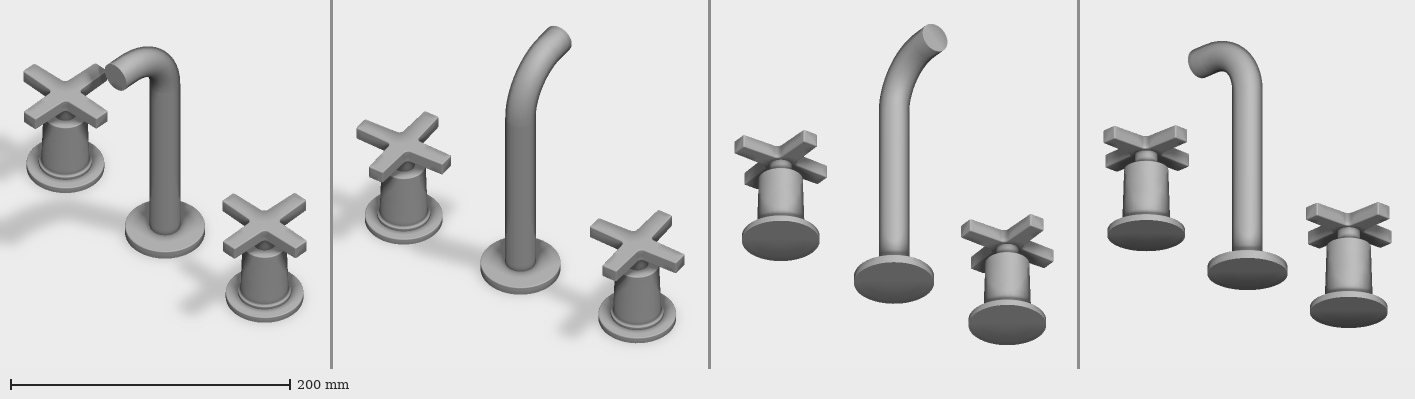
import cadquery as cq
import math

total_width = 273.3
total_height = 191.5

cross_span = 73.8
cross_bottom = 63.0
cross_top = 73.2
arm_tip_width = 12.0
arm_root_width = 13.7
arm_root_fillet = 3.5
cross_edge_fillet = 0.8
arm_tip_fillet = 1.0

flange_radius = 28.0
flange_height = 5.0
flange_edge_fillet = 0.8
collar_edge_fillet = 0.5
collar_top = 7.5
body_bottom_radius = 17.2
body_top_radius = 15.9
body_top = 52.0
body_edge_fillet = 0.8
body_foot_fillet = 1.5
collar_radius = body_bottom_radius + body_foot_fillet + collar_edge_fillet
stem_radius = 8.2

spout_radius = 11.0
spout_reach = 50.5
bend_radius = 37.7
spout_flange_radius = 28.7
spout_flange_height = 6.5
spout_flange_fillet = 0.8

valve_offset = (total_width - cross_span) / 2


def make_turned_body():
    """Flange, collar, tapered body and stem revolved about Z."""
    profile = (
        cq.Workplane("XZ")
        .lineTo(flange_radius, 0)
        .lineTo(flange_radius, flange_height - flange_edge_fillet)
        .radiusArc((flange_radius - flange_edge_fillet, flange_height), -flange_edge_fillet)
        .lineTo(collar_radius, flange_height)
        .lineTo(collar_radius, collar_top - collar_edge_fillet)
        .radiusArc((collar_radius - collar_edge_fillet, collar_top), -collar_edge_fillet)
        .radiusArc((body_bottom_radius, collar_top + body_foot_fillet), body_foot_fillet)
        .lineTo(body_top_radius, body_top - body_edge_fillet)
        .radiusArc((body_top_radius - body_edge_fillet, body_top), -body_edge_fillet)
        .lineTo(stem_radius, body_top)
        .lineTo(stem_radius, cross_bottom)
        .lineTo(0, cross_bottom)
        .close()
    )
    return profile.revolve(360, (0, 0, 0), (0, 1, 0))


def make_cross():
    """Four tapering arms with rounded inner corners and softened outer edges."""
    tip = cross_span / 2
    half_tip = arm_tip_width / 2
    half_root = arm_root_width / 2

    arm_corners = [(half_root, half_root), (tip, half_tip), (tip, -half_tip)]
    outline = []
    for quarter in range(4):
        angle = -quarter * math.pi / 2
        cosine, sine = math.cos(angle), math.sin(angle)
        outline += [(x * cosine - y * sine, x * sine + y * cosine) for x, y in arm_corners]

    root_box = cq.selectors.BoxSelector(
        (-arm_root_width, -arm_root_width, 0),
        (arm_root_width, arm_root_width, total_height),
    )
    cross = (
        cq.Workplane("XY", origin=(0, 0, cross_bottom))
        .polyline(outline)
        .close()
        .extrude(cross_top - cross_bottom)
    )
    cross = cross.edges("|Z").edges(root_box).fillet(arm_root_fillet)
    cross = cross.faces("<X or >X or <Y or >Y").edges("|Z").fillet(arm_tip_fillet)
    return cross.faces("<Z or >Z").edges().fillet(cross_edge_fillet)


def make_valve(x):
    """One valve with its cross handle, standing at the given X."""
    return make_turned_body().union(make_cross()).translate((x, 0, 0))


def make_spout():
    """Round flange with an upright tube bent forward to the outlet."""
    outlet_height = total_height - spout_radius
    bend_start = outlet_height - bend_radius
    bend_angle = math.radians(45)
    bend_middle = (
        -bend_radius * (1 - math.cos(bend_angle)),
        bend_start + bend_radius * math.sin(bend_angle),
    )
    path = (
        cq.Workplane("YZ")
        .lineTo(0, bend_start)
        .threePointArc(bend_middle, (-bend_radius, outlet_height))
        .lineTo(-spout_reach, outlet_height)
    )
    tube = cq.Workplane("XY").circle(spout_radius).sweep(path)
    flange = cq.Workplane("XY").circle(spout_flange_radius).extrude(spout_flange_height)
    flange = flange.faces(">Z").edges().fillet(spout_flange_fillet)
    return flange.union(tube)


valves = [make_valve(side * valve_offset) for side in (-1, 1)]
spout = make_spout()

result = cq.Compound.makeCompound([spout.val(), *[valve.val() for valve in valves]])